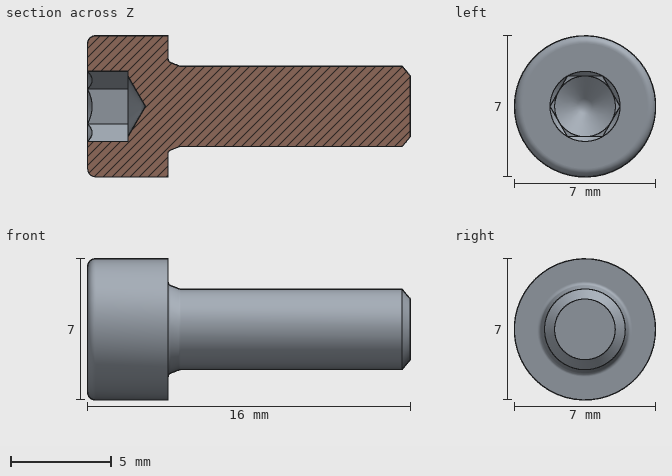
import cadquery as cq
import math

total_length = 16.0
head_diameter = 7.0
head_length = 4.0
head_edge_radius = 0.4

shank_diameter = 4.0
tip_diameter = 3.0
tip_chamfer_length = 0.42

neck_root_diameter = 4.7
neck_cone_angle = math.radians(21)
neck_blend_radius = 0.2

socket_across_flats = 3.0
socket_depth = 2.0
socket_drill_angle = 120.0
socket_mouth_angle = 90.0

head_radius = head_diameter / 2
shank_radius = shank_diameter / 2
neck_root_radius = neck_root_diameter / 2
head_start = -total_length / 2
head_end = head_start + head_length
tip_end = total_length / 2
socket_across_corners = socket_across_flats / math.cos(math.radians(30))


def root_blend_point(slope):
    """Point (x, radius) on the blend at the head face where its slope to the axis is as given."""
    return (
        head_end + neck_blend_radius * (1 - math.sin(slope)),
        neck_root_radius - neck_blend_radius * math.cos(slope),
    )


cone_start = root_blend_point(neck_cone_angle)
cone_end_radius = shank_radius + neck_blend_radius * (1 - math.cos(neck_cone_angle))
cone_length = (cone_start[1] - cone_end_radius) / math.tan(neck_cone_angle)
cone_end = (cone_start[0] + cone_length, cone_end_radius)
shank_start = cone_end[0] + neck_blend_radius * math.sin(neck_cone_angle)


def shank_blend_point(slope):
    """Point (x, radius) on the blend at the shank where its slope to the axis is as given."""
    return (
        shank_start - neck_blend_radius * math.sin(slope),
        shank_radius + neck_blend_radius * (1 - math.cos(slope)),
    )


def make_body():
    """Revolved head, neck and shank."""
    root_mid_angle = (math.pi / 2 + neck_cone_angle) / 2
    arc_offset = head_edge_radius * (1 - math.sqrt(0.5))
    return (
        cq.Workplane("XY")
        .moveTo(head_start, 0)
        .lineTo(head_start, head_radius - head_edge_radius)
        .threePointArc(
            (head_start + arc_offset, head_radius - arc_offset),
            (head_start + head_edge_radius, head_radius),
        )
        .lineTo(head_end, head_radius)
        .lineTo(head_end, neck_root_radius)
        .threePointArc(root_blend_point(root_mid_angle), cone_start)
        .lineTo(*cone_end)
        .threePointArc(shank_blend_point(neck_cone_angle / 2), shank_blend_point(0))
        .lineTo(tip_end - tip_chamfer_length, shank_radius)
        .lineTo(tip_end, tip_diameter / 2)
        .lineTo(tip_end, 0)
        .close()
        .revolve(360, (0, 0, 0), (1, 0, 0))
    )


def make_cone(base_radius, included_angle):
    """Cone with its base on the head face, pointing into the screw."""
    height = base_radius / math.tan(math.radians(included_angle / 2))
    return cq.Workplane(
        cq.Solid.makeCone(base_radius, 0, height, cq.Vector(head_start, 0, 0), cq.Vector(1, 0, 0))
    )


def make_socket():
    """Hexagon with corners along Y, conical bottom and countersunk mouth."""
    hexagon = (
        cq.Workplane("YZ", origin=(head_start, 0, 0))
        .polygon(6, socket_across_corners)
        .extrude(socket_depth)
    )
    bottom = make_cone(socket_across_flats / 2, socket_drill_angle).translate((socket_depth, 0, 0))
    mouth = make_cone(socket_across_corners / 2, socket_mouth_angle)
    return hexagon.union(bottom).union(mouth)


result = make_body().cut(make_socket())